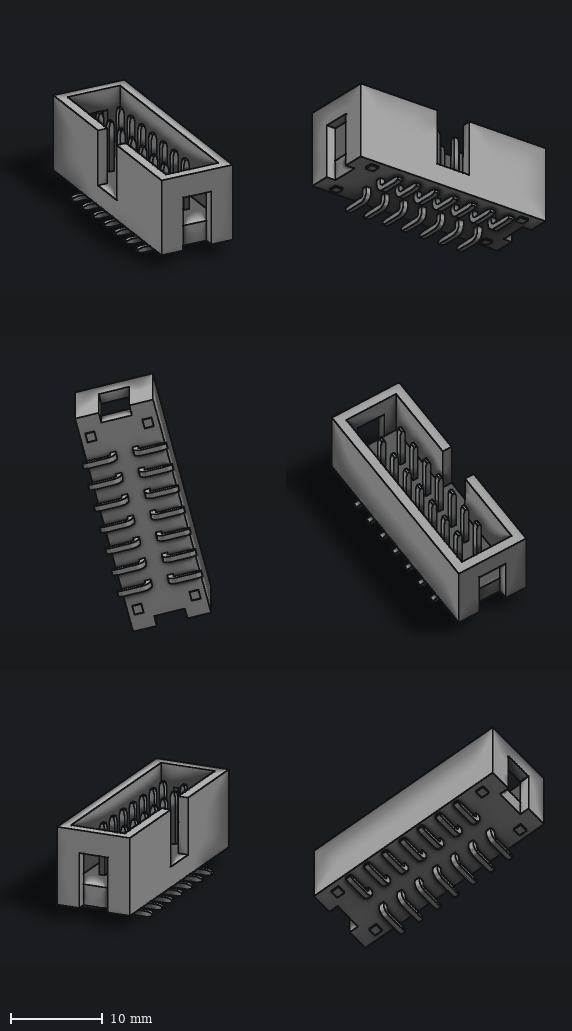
import cadquery as cq
import math

body_length = 25.4
body_width = 8.81
body_height = 9.02
wall = 1.17
floor_height = 2.41

notch_width = 4.4

slot_width = 3.45
slot_height = 6.38

standoff_size = 1.02
standoff_height = 0.2
standoff_x = 10.25
standoff_y = 3.23

pins_per_row = 7
pitch = 2.55
pin_size = 0.64
rows_offset_y = -0.08
pin_top = 8.33
pin_bottom = -1.63
feet_span = 9.5
bend_inner_radius = 0.4

tip_length = 0.55
tip_inset = 0.15


def box_on(z_bottom, length, width, height):
    """Box centred on X and Y whose underside is at z_bottom."""
    box = cq.Workplane("XY").box(length, width, height, centered=(True, True, False))
    return box.translate((0, 0, z_bottom))


def make_housing():
    cavity_length = body_length - 2 * wall
    cavity_width = body_width - 2 * wall
    cavity_height = body_height - floor_height
    housing = box_on(0, body_length, body_width, body_height)
    housing = housing.cut(box_on(floor_height, cavity_length, cavity_width, cavity_height))

    notch = box_on(floor_height, notch_width, wall, cavity_height)
    housing = housing.cut(notch.translate((0, (wall - body_width) / 2, 0)))

    slot = box_on(0, wall, slot_width, slot_height)
    for side in (-1, 1):
        housing = housing.cut(slot.translate((side * (body_length - wall) / 2, 0, 0)))
    return housing


def make_standoffs():
    corners = [(x, y) for x in (-standoff_x, standoff_x) for y in (-standoff_y, standoff_y)]
    outlines = cq.Workplane("XY").pushPoints(corners).rect(standoff_size, standoff_size)
    return outlines.extrude(-standoff_height)


def make_pin():
    """Pin of the +Y row, centred on X = 0; Y is measured from the middle between the rows."""
    inner = (pitch - pin_size) / 2
    outer = (pitch + pin_size) / 2
    foot_end = feet_span / 2
    foot_top = pin_bottom + pin_size
    bend_y = outer + bend_inner_radius
    bend_z = foot_top + bend_inner_radius
    diagonal = math.sqrt(0.5)
    inner_mid = bend_inner_radius * diagonal
    outer_mid = (bend_inner_radius + pin_size) * diagonal
    profile = (
        cq.Workplane("YZ")
        .moveTo(inner, bend_z)
        .lineTo(inner, pin_top - tip_length)
        .lineTo(inner + tip_inset, pin_top)
        .lineTo(outer - tip_inset, pin_top)
        .lineTo(outer, pin_top - tip_length)
        .lineTo(outer, bend_z)
        .threePointArc((bend_y - inner_mid, bend_z - inner_mid), (bend_y, foot_top))
        .lineTo(foot_end - tip_length, foot_top)
        .lineTo(foot_end, foot_top - tip_inset)
        .lineTo(foot_end, pin_bottom + tip_inset)
        .lineTo(foot_end - tip_length, pin_bottom)
        .lineTo(bend_y, pin_bottom)
        .threePointArc((bend_y - outer_mid, bend_z - outer_mid), (inner, bend_z))
        .close()
    )
    return profile.extrude(pin_size / 2, both=True)


result = make_housing().union(make_standoffs())

back_pin = make_pin()
front_pin = back_pin.mirror("XZ")
for index in range(pins_per_row):
    pin_x = (index - (pins_per_row - 1) / 2) * pitch
    for pin in (front_pin, back_pin):
        result = result.union(pin.translate((pin_x, rows_offset_y, 0)))